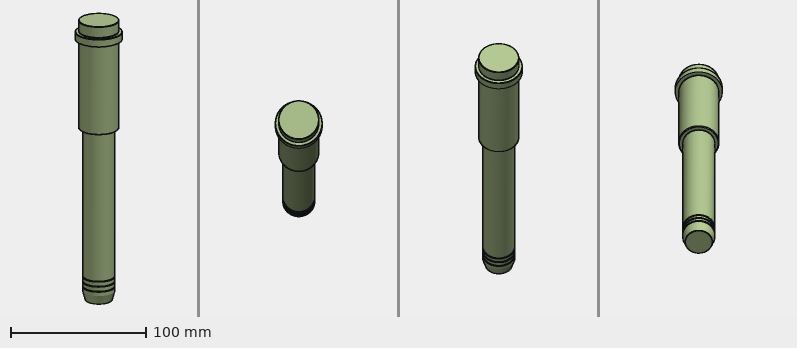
import cadquery as cq

length = 220.0
top_z = length / 2
bottom_z = -length / 2

head_radius = 30.0 / 2
head_length = 85.1
head_top_chamfer = 0.5
head_bottom_chamfer = 0.7
head_bottom_z = top_z - head_length

collar_radius = 35.0 / 2
collar_drop = 9.0
collar_height = 6.0
collar_chamfer = 0.5
collar_top_z = top_z - collar_drop
collar_bottom_z = collar_top_z - collar_height

shank_radius = 24.0 / 2

tip_length = 7.0
tip_radius = 20.2 / 2
tip_chamfer = 0.33

relief_width = 0.7
relief_depth = 0.1

undercut_depth = 0.2
undercut_floor_width = 0.7
undercut_width = 1.0

groove_count = 3
groove_pitch = 4.0
groove_width = 0.7
groove_depth = 0.5
lowest_groove_height = 10.5


def make_ring(inner_radius, outer_radius, low_z, high_z):
    """Ring on the Z axis between two heights."""
    base = cq.Workplane("XY").workplane(offset=low_z)
    return base.circle(outer_radius).circle(inner_radius).extrude(high_z - low_z)


def make_body():
    """Turned blank with the head, collar, shank and tip, without reliefs or grooves."""
    outline = [
        (0, top_z),
        (head_radius - head_top_chamfer, top_z),
        (head_radius, top_z - head_top_chamfer),
        (head_radius, collar_top_z),
        (collar_radius - collar_chamfer, collar_top_z),
        (collar_radius, collar_top_z - collar_chamfer),
        (collar_radius, collar_bottom_z),
        (head_radius, collar_bottom_z),
        (head_radius, head_bottom_z + head_bottom_chamfer),
        (head_radius - head_bottom_chamfer, head_bottom_z),
        (shank_radius, head_bottom_z),
        (shank_radius, bottom_z + tip_length),
        (tip_radius, bottom_z + tip_chamfer),
        (tip_radius - tip_chamfer, bottom_z),
        (0, bottom_z),
    ]
    return cq.Workplane("XZ").polyline(outline).close().revolve(360, (0, 0, 0), (0, 1, 0))


def make_groove(surface_radius, depth, low_z, width):
    """Square groove cutter for a cylinder of the given radius."""
    return make_ring(surface_radius - depth, surface_radius, low_z, low_z + width)


def make_undercut():
    """Cutter for the undercut that runs out along a ramp below the collar."""
    floor_radius = head_radius - undercut_depth
    outline = [
        (head_radius, collar_bottom_z),
        (floor_radius, collar_bottom_z),
        (floor_radius, collar_bottom_z - undercut_floor_width),
        (head_radius, collar_bottom_z - undercut_width),
    ]
    return cq.Workplane("XZ").polyline(outline).close().revolve(360, (0, 0, 0), (0, 1, 0))


result = make_body()

result = result.cut(make_groove(head_radius, relief_depth, collar_top_z, relief_width))
result = result.cut(make_groove(shank_radius, relief_depth, head_bottom_z - relief_width, relief_width))
result = result.cut(make_undercut())

for index in range(groove_count):
    groove_center_z = bottom_z + lowest_groove_height + index * groove_pitch
    groove_low_z = groove_center_z - groove_width / 2
    result = result.cut(make_groove(shank_radius, groove_depth, groove_low_z, groove_width))